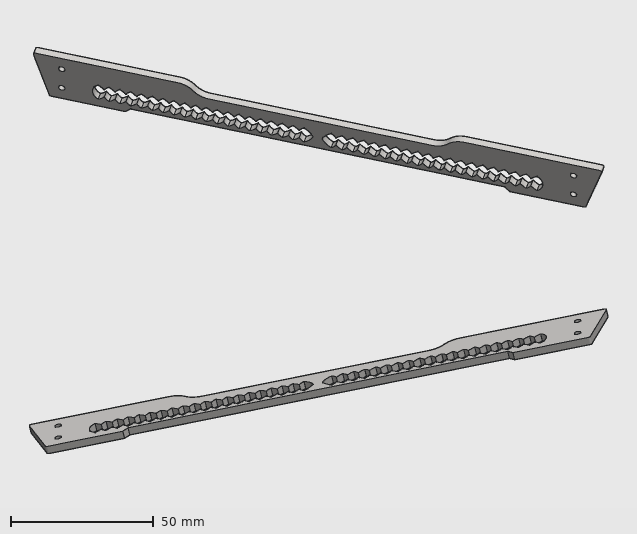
import cadquery as cq
import math

length = 207.0
thickness = 3.0
height = 20.3

half_length = length / 2
end_lean = math.radians(17)
corner_radius = 0.8
corner_overhang = corner_radius / math.tan((math.pi / 2 - end_lean) / 2) - corner_radius
half_top = half_length + corner_overhang
half_bottom = half_top - height * math.tan(end_lean)
waist_top = 15.3
waist_bottom = 1.9
bottom_step = 70.0
left_shoulder_outer = 51.0
left_shoulder_inner = 39.8
right_shoulder_outer = 53.5
right_shoulder_inner = 41.6

hole_diameter = 2.3
hole_x = 93.2
hole_margin = 5.4

notch_count = 20
first_notch_x = 80.0
notch_row = 75.0
notch_pitch = notch_row / (notch_count - 1)
notch_z = 7.0
notch_half_height = 3.5
notch_tip = 3.3
notch_bulge = 2.0
notch_bow = 0.5


def plate():
    """Plate with sloped ends, a slim middle and a raised block at each end."""
    left_middle_x = -(left_shoulder_outer + left_shoulder_inner) / 2
    right_middle_x = (right_shoulder_outer + right_shoulder_inner) / 2
    middle_z = (height + waist_top) / 2
    step_top = bottom_step - waist_bottom
    outline = (
        cq.Workplane("XZ", origin=(0, thickness / 2, 0))
        .moveTo(-half_bottom, 0)
        .lineTo(-half_top, height)
        .lineTo(-left_shoulder_outer, height)
        .tangentArcPoint((left_middle_x, middle_z), relative=False)
        .tangentArcPoint((-left_shoulder_inner, waist_top), relative=False)
        .lineTo(right_shoulder_inner, waist_top)
        .tangentArcPoint((right_middle_x, middle_z), relative=False)
        .tangentArcPoint((right_shoulder_outer, height), relative=False)
        .lineTo(half_top, height)
        .lineTo(half_bottom, 0)
        .lineTo(bottom_step, 0)
        .lineTo(step_top, waist_bottom)
        .lineTo(-step_top, waist_bottom)
        .lineTo(-bottom_step, 0)
        .close()
    )
    blank = outline.extrude(thickness)
    outer_corners = blank.edges("|Y").filter(lambda edge: abs(edge.Center().x) > hole_x)
    return outer_corners.fillet(corner_radius)


def mounting_holes():
    """Two holes, one above the other, near each end."""
    centers = [(side * hole_x, z) for side in (-1, 1) for z in (hole_margin, height - hole_margin)]
    return (
        cq.Workplane("XZ", origin=(0, thickness / 2, 0))
        .pushPoints(centers)
        .circle(hole_diameter / 2)
        .extrude(thickness)
    )


def left_slot():
    """Row of overlapping notches, each rounded outwards and pointed inwards."""
    centers = [(-first_notch_x + i * notch_pitch, notch_z) for i in range(notch_count)]
    notches = None
    for x, z in centers:
        notch = (
            cq.Workplane("XZ", origin=(0, thickness / 2, 0))
            .moveTo(x, z - notch_half_height)
            .threePointArc((x - notch_bulge, z), (x, z + notch_half_height))
            .sagittaArc((x + notch_tip, z), notch_bow)
            .sagittaArc((x, z - notch_half_height), notch_bow)
            .close()
            .extrude(thickness)
        )
        notches = notch if notches is None else notches.union(notch)
    return notches


slot = left_slot()
result = plate().cut(mounting_holes()).cut(slot).cut(slot.mirror("YZ"))